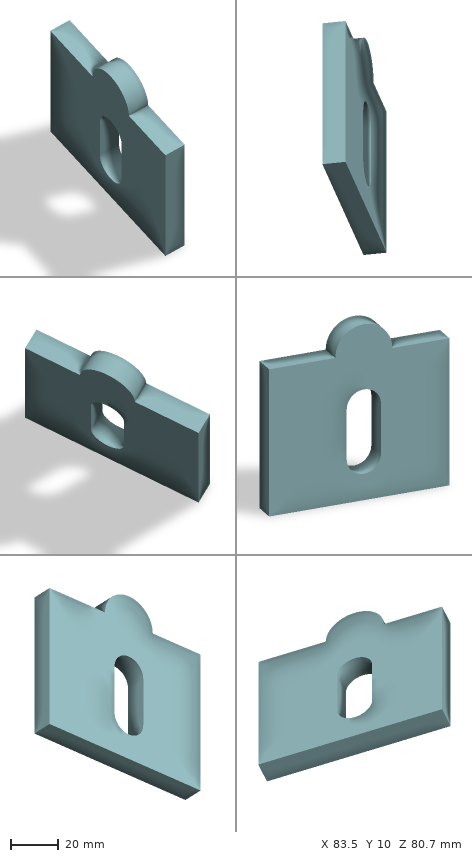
import cadquery as cq

plate_width = 83.5
plate_thickness = 10.0
plate_height = 67.5

centre_line_x = 43.85
tab_radius = 13.2
slot_width = 15.9
slot_length = 38.7
slot_bottom_z = 12.1
slot_centre_z = slot_bottom_z + slot_length / 2


def make_plate_with_tab():
    """Rectangular plate with a half-round tab rising from its top edge."""
    return (
        cq.Workplane("XZ")
        .lineTo(plate_width, 0)
        .lineTo(plate_width, plate_height)
        .lineTo(centre_line_x + tab_radius, plate_height)
        .threePointArc(
            (centre_line_x, plate_height + tab_radius),
            (centre_line_x - tab_radius, plate_height),
        )
        .lineTo(0, plate_height)
        .close()
        .extrude(-plate_thickness)
    )


def make_slot():
    """Upright round-ended slot through the full thickness."""
    return (
        cq.Workplane("XZ")
        .center(centre_line_x, slot_centre_z)
        .slot2D(slot_length, slot_width, angle=90)
        .extrude(-plate_thickness)
    )


result = make_plate_with_tab().cut(make_slot())